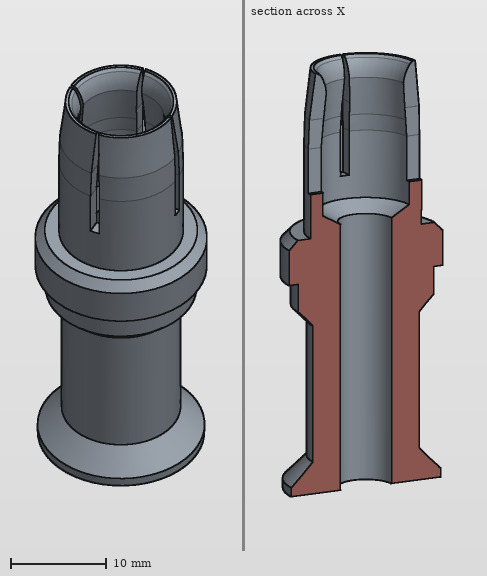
import cadquery as cq
import math

total_height = 45.6

foot_radius = 8.75
foot_rim_height = 1.0
stem_radius = 6.25
foot_cone_top = foot_rim_height + (foot_radius - stem_radius)

collar_radius = 7.95
collar_bottom = 19.95
collar_cone_bottom = collar_bottom - (collar_radius - stem_radius)
flange_diameter = 18.0
flange_radius = flange_diameter / 2
flange_bottom = 23.0
flange_top = 27.8
flange_chamfer = 1.0

sleeve_radius = 6.5
bend_start = 37.45
bend_end = 40.6
bend_middle = (bend_start + bend_end) / 2
bend_end_radius = 6.45
bend_middle_radius = sleeve_radius - (sleeve_radius - bend_end_radius) / 4
tip_radius = 5.85

bore_radius = 2.95
cavity_radius = 5.0
cavity_cone_top = 30.1
cavity_cone_angle = 30.0
cavity_cone_height = (cavity_radius - bore_radius) * math.tan(math.radians(cavity_cone_angle))
cavity_cone_bottom = cavity_cone_top - cavity_cone_height
inner_bend_end = 39.2
inner_bend_radius = 4.9
throat_radius = 4.5
throat_height = 43.3
mouth_radius = 5.2
mouth_chamfer = 0.295
mouth_bottom = total_height - mouth_chamfer
flare_bulge = 0.3
mouth_mid_radius = throat_radius + (mouth_radius - throat_radius) * flare_bulge
mouth_mid_height = (throat_height + mouth_bottom) / 2

slot_bottom = 32.6
slot_half_width = 0.5
slot_bend_half_width = 0.435
slot_tip_half_width = 0.16
slot_overrun = 0.45


def revolve_about_z(profile):
    return profile.close().revolve(360, (0, 0, 0), (0, 1, 0))


def make_body():
    """Solid turned outline, from the foot up to the sleeve tip."""
    profile = (
        cq.Workplane("XZ")
        .lineTo(foot_radius, 0)
        .lineTo(foot_radius, foot_rim_height)
        .lineTo(stem_radius, foot_cone_top)
        .lineTo(stem_radius, collar_cone_bottom)
        .lineTo(collar_radius, collar_bottom)
        .lineTo(collar_radius, flange_bottom)
        .lineTo(flange_radius, flange_bottom)
        .lineTo(flange_radius, flange_top - flange_chamfer)
        .lineTo(flange_radius - flange_chamfer, flange_top)
        .lineTo(sleeve_radius, flange_top)
        .lineTo(sleeve_radius, bend_start)
        .threePointArc((bend_middle_radius, bend_middle), (bend_end_radius, bend_end))
        .lineTo(tip_radius, total_height)
        .lineTo(0, total_height)
    )
    return revolve_about_z(profile)


def make_passage():
    """Narrow through bore opening into the wide cavity and the flared mouth."""
    profile = (
        cq.Workplane("XZ")
        .lineTo(bore_radius, 0)
        .lineTo(bore_radius, cavity_cone_bottom)
        .lineTo(cavity_radius, cavity_cone_top)
        .lineTo(cavity_radius, bend_start)
        .lineTo(inner_bend_radius, inner_bend_end)
        .lineTo(throat_radius, throat_height)
        .threePointArc((mouth_mid_radius, mouth_mid_height), (mouth_radius, mouth_bottom))
        .lineTo(mouth_radius + mouth_chamfer, total_height)
        .lineTo(0, total_height)
    )
    return revolve_about_z(profile)


def make_slot(plane):
    """Slot across the whole sleeve, narrowing where the fingers bend inward."""
    return (
        cq.Workplane(plane)
        .moveTo(-slot_half_width, slot_bottom)
        .lineTo(slot_half_width, slot_bottom)
        .lineTo(slot_half_width, bend_start)
        .lineTo(slot_bend_half_width, bend_end)
        .lineTo(slot_tip_half_width, total_height)
        .lineTo(-slot_tip_half_width, total_height)
        .lineTo(-slot_bend_half_width, bend_end)
        .lineTo(-slot_half_width, bend_start)
        .close()
        .extrude(sleeve_radius + slot_overrun, both=True)
    )


result = make_body().cut(make_passage())
for slot_plane in ("XZ", "YZ"):
    result = result.cut(make_slot(slot_plane))